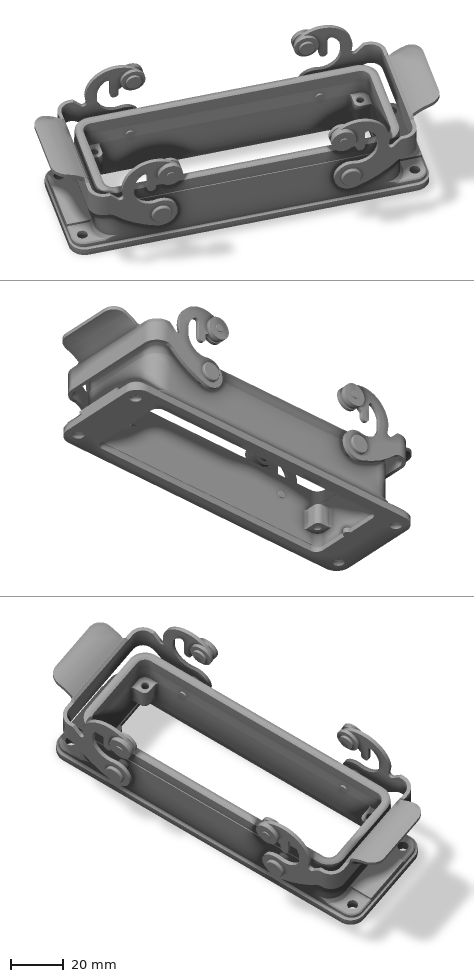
import cadquery as cq
import math

plate_x = 45.5
plate_y = 141.0
plate_z = 2.9
plate_corner = 6.1
opening_x = 35.0
opening_y = 110.7
opening_corner = 3.3
lip_top = 2.0
nub_diameter = 3.5

wall_x = 42.6
wall_y = 119.5
wall_corner = 7.3
wall_top = 22.7
cavity_x = 35.5
cavity_y = 112.5
cavity_corner = wall_corner - (wall_x - cavity_x) / 2
lower_cavity_inset = 0.5
taper_bottom = 17.2
flange_y = 139.2
flange_top = 4.9
flange_corner = 4.9
flange_edge_chamfer = 0.5
skirt = 1.2
pad_x = 21.2
pad_top = 6.0
mount_hole_diameter = 4.1
plate_hole_diameter = 4.5
mount_hole_x = 16.5
mount_hole_y = 65.2

seal_step = 0.3
seal_edge_top = 28.0
seal_crown = 28.5

boss_x = 10.2
boss_y = 49.3
boss_bottom = 8.4
boss_top = 17.0
boss_corner = 2.3
boss_flare = 0.9
boss_hole_diameter = 2.9
boss_hole_chamfer = 0.3
boss_hole_x = 13.5
boss_hole_y = 52.0

strap_x = 53.9
strap_y = 128.8
strap_corner = 6.1
sheet = 1.5
strap_bottom = 23.5
strap_top = 33.2
lobe_radius = 6.4
hook_y = 40.2
hook_z = 34.4
hook_radius = 12.2
hook_end_radius = 4.3
slot_radius = 7.6
slot_drop = 2.0

finger_radius = 1.7
finger_y = 41.0
finger_z = 33.2
finger_root_z = 35.2
finger_root_angle = -40
slot_tip_radius = 1.2
neck_y = 51.9
notch_radius = 1.2
notch_z = 31.0
notch_exit_angle = -45

brace_start = (57.7, strap_bottom)
brace_shoulder = (55.9, 22.7)
brace_middle = (47.5, 16.5)
brace_end_angle = -70

pivot_y = 37.1
pivot_z = 18.9
pivot_diameter = 4.5
pivot_head_diameter = 7.8
pivot_head_height = 1.4
pivot_head_chamfer = 0.3
pivot_tip_diameter = 3.0
pivot_tip_length = 0.5

roller_y = 34.0
roller_z = 39.6
roller_diameter = 9.6
roller_outer_width = 1.8
roller_inner_width = 1.4
collar_diameter = 6.0
collar_width = 1.0
roller_pin_diameter = 3.3
roller_pin_length = 0.5

tab_x = 32.9
tab_end = 76.1
tab_corner = 5.5
tab_radius = 19.3
tab_end_top = 38.8
tab_gusset = 1.5
gusset_slope = 1.2


def rounded_block(x, y, bottom, top, corner):
    block = cq.Workplane("XY", origin=(0, 0, bottom)).rect(x, y).extrude(top - bottom)
    return block.edges("|Z").fillet(corner)


def cylinder_x(y, z, diameter, x_start, x_end):
    plane = cq.Workplane("YZ", origin=(x_start, y, z))
    return plane.circle(diameter / 2).extrude(x_end - x_start)


def both_sides(shape):
    return shape.union(shape.mirror("YZ"))


def all_corners(shape):
    pair = both_sides(shape)
    return pair.union(pair.mirror("XZ"))


def circle_point(centre, radius, angle):
    turn = math.radians(angle)
    return (centre[0] + radius * math.cos(turn), centre[1] + radius * math.sin(turn))


def make_plate():
    opening = rounded_block(opening_x, opening_y, 0, plate_z, opening_corner)
    plate = rounded_block(plate_x, plate_y, 0, plate_z, plate_corner).cut(opening)
    nub = cq.Workplane("XY").center(0, opening_y / 2).circle(nub_diameter / 2).extrude(lip_top)
    return plate.union(nub).union(nub.mirror("XZ"))


def make_flange():
    flange = rounded_block(wall_x, flange_y, plate_z, flange_top, flange_corner)
    flange = flange.faces(">Z").edges().chamfer(flange_edge_chamfer)
    outline = rounded_block(wall_x, flange_y, plate_z, wall_top, flange_corner)
    pads = cq.Workplane("XY", origin=(0, 0, plate_z)).rect(pad_x, flange_y).extrude(pad_top - plate_z)
    sloped_skirt = rounded_block(
        wall_x + 2 * skirt, wall_y + 2 * skirt, plate_z, flange_top + skirt, wall_corner + skirt
    )
    sloped_skirt = sloped_skirt.faces(">Z").edges().chamfer(skirt)
    return flange.union(pads).union(sloped_skirt.intersect(outline))


def make_mount_holes():
    centre = cq.Workplane("XY").center(mount_hole_x, mount_hole_y)
    flange_hole = centre.circle(mount_hole_diameter / 2).extrude(pad_top)
    plate_hole = centre.circle(plate_hole_diameter / 2).extrude(plate_z)
    return all_corners(flange_hole.union(plate_hole))


def make_cavity():
    lower_x = cavity_x - 2 * lower_cavity_inset
    lower_y = cavity_y - 2 * lower_cavity_inset
    lower_corner = cavity_corner - lower_cavity_inset
    lower = rounded_block(lower_x, lower_y, lip_top, taper_bottom, lower_corner)
    taper_angle = math.degrees(math.atan(lower_cavity_inset / (wall_top - taper_bottom)))
    taper = lower.faces(">Z").wires().toPending().workplane()
    taper = taper.extrude(wall_top - taper_bottom, taper=-taper_angle, combine=False)
    return lower.union(taper)


def make_boss():
    wall_inside_x = cavity_x / 2 - lower_cavity_inset
    wall_inside_y = cavity_y / 2 - lower_cavity_inset
    end_x = cavity_x / 2 + lower_cavity_inset
    end_y = cavity_y / 2 + lower_cavity_inset
    boss_middle = (boss_bottom + boss_top) / 2
    flare_middle = boss_flare * (1 - math.sqrt(0.5))
    boss = (
        cq.Workplane("XY", origin=(0, 0, boss_bottom))
        .moveTo(boss_x, boss_y)
        .lineTo(wall_inside_x - boss_flare, boss_y)
        .threePointArc(
            (wall_inside_x - flare_middle, boss_y - flare_middle),
            (wall_inside_x, boss_y - boss_flare),
        )
        .lineTo(end_x, boss_y - boss_flare)
        .lineTo(end_x, end_y)
        .lineTo(boss_x - boss_flare, end_y)
        .lineTo(boss_x - boss_flare, wall_inside_y)
        .threePointArc(
            (boss_x - flare_middle, wall_inside_y - flare_middle),
            (boss_x, wall_inside_y - boss_flare),
        )
        .close()
        .extrude(boss_top - boss_bottom)
    )
    boss = boss.edges(cq.NearestToPointSelector((boss_x, boss_y, boss_middle))).fillet(boss_corner)
    boss = (
        boss.faces(">Z")
        .workplane(origin=(boss_hole_x, boss_hole_y, boss_top))
        .cskHole(boss_hole_diameter, boss_hole_diameter + 2 * boss_hole_chamfer, 90)
    )
    return boss.intersect(rounded_block(wall_x, wall_y, 0, wall_top, wall_corner))


def make_seal():
    outer_x = wall_x / 2 - seal_step
    outer_y = wall_y / 2 - seal_step
    inner_x = cavity_x / 2
    centre_x = (outer_x + inner_x) / 2
    profile = (
        cq.Workplane("XZ")
        .moveTo(inner_x, wall_top)
        .lineTo(outer_x, wall_top)
        .lineTo(outer_x, seal_edge_top)
        .threePointArc((centre_x, seal_crown), (inner_x, seal_edge_top))
        .close()
    )
    inset = outer_x - centre_x
    path = (
        cq.Workplane("XY", origin=(0, 0, wall_top))
        .rect(2 * centre_x, 2 * (outer_y - inset))
        .extrude(seal_edge_top - wall_top)
        .edges("|Z")
        .fillet(wall_corner - seal_step - inset)
        .faces("<Z")
        .wires()
    )
    return profile.sweep(path)


def make_housing():
    wall = rounded_block(wall_x, wall_y, plate_z, wall_top, wall_corner)
    housing = make_plate().union(make_flange()).union(wall)
    housing = housing.cut(make_cavity()).cut(make_mount_holes())
    return housing.union(all_corners(make_boss())).union(make_seal())


def angle_to(start, end):
    return math.degrees(math.atan2(end[1] - start[1], end[0] - start[0]))


def make_arm_profile():
    pivot = (pivot_y, pivot_z)
    roller = (roller_y, roller_z)
    hook = (hook_y, hook_z)
    slot_low = (hook_y, hook_z - slot_drop)

    lobe_end_angle = angle_to(pivot, slot_low)
    slot_middle_angle = (lobe_end_angle - 180) / 2

    finger_slot_side = finger_y + finger_radius
    slot_tip_y = finger_slot_side + slot_tip_radius
    slot_tip_reach = slot_radius - slot_tip_radius
    slot_tip = (slot_tip_y, hook_z + math.sqrt(slot_tip_reach**2 - (slot_tip_y - hook_y) ** 2))
    slot_tip_angle = angle_to(hook, slot_tip)

    tangent_offset = math.acos((hook_radius - hook_end_radius) / math.dist(hook, roller))
    tangent_angle = angle_to(hook, roller) - math.degrees(tangent_offset)

    finger_free_side = finger_y - finger_radius
    notch = (neck_y + notch_radius, notch_z)
    notch_middle_angle = (180 + 360 + notch_exit_angle) / 2
    notch_exit = circle_point(notch, notch_radius, notch_exit_angle)
    slope_top = (notch_exit[0] + strap_top - notch_exit[1], strap_top)
    return (
        cq.Workplane("YZ")
        .moveTo(strap_y / 2, strap_bottom)
        .lineTo(*brace_start)
        .lineTo(*brace_shoulder)
        .threePointArc(brace_middle, circle_point(pivot, lobe_radius, brace_end_angle))
        .threePointArc(
            circle_point(pivot, lobe_radius, 180),
            circle_point(pivot, lobe_radius, lobe_end_angle),
        )
        .threePointArc(
            circle_point(slot_low, slot_radius, slot_middle_angle),
            circle_point(slot_low, slot_radius, 0),
        )
        .lineTo(*circle_point(hook, slot_radius, 0))
        .threePointArc(
            circle_point(hook, slot_radius, slot_tip_angle / 2),
            circle_point(hook, slot_radius, slot_tip_angle),
        )
        .threePointArc(
            circle_point(slot_tip, slot_tip_radius, (slot_tip_angle + 180) / 2),
            (finger_slot_side, slot_tip[1]),
        )
        .lineTo(finger_slot_side, finger_z)
        .threePointArc((finger_y, finger_z - finger_radius), (finger_free_side, finger_z))
        .lineTo(finger_free_side, finger_root_z)
        .lineTo(*circle_point(roller, hook_end_radius, finger_root_angle))
        .threePointArc(
            circle_point(roller, hook_end_radius, 180),
            circle_point(roller, hook_end_radius, tangent_angle),
        )
        .lineTo(*circle_point(hook, hook_radius, tangent_angle))
        .threePointArc(
            circle_point(hook, hook_radius, tangent_angle / 2),
            circle_point(hook, hook_radius, 0),
        )
        .lineTo(neck_y, notch_z)
        .threePointArc(circle_point(notch, notch_radius, notch_middle_angle), notch_exit)
        .lineTo(*slope_top)
        .lineTo(strap_y / 2, strap_top)
        .close()
    )


def make_strap():
    inner = rounded_block(
        strap_x - 2 * sheet, strap_y - 2 * sheet, 0, hook_z + hook_radius, strap_corner - sheet
    )
    band = rounded_block(strap_x, strap_y, 0, hook_z + hook_radius, strap_corner).cut(inner)
    arm_slab = make_arm_profile().extrude(strap_x / 2, both=True)
    return band.intersect(arm_slab)


def make_tab():
    start_y = strap_y / 2 - sheet
    centre = (tab_end, tab_end_top - tab_radius)
    inner_radius = tab_radius - sheet
    root_height = math.sqrt(tab_radius**2 - (tab_end - start_y) ** 2)
    inner_root_height = math.sqrt(inner_radius**2 - (tab_end - start_y) ** 2)
    root_angle = (90 + angle_to(centre, (start_y, centre[1] + root_height))) / 2
    curved_sheet = (
        cq.Workplane("YZ")
        .moveTo(start_y, centre[1] + inner_root_height)
        .lineTo(start_y, centre[1] + root_height)
        .threePointArc(circle_point(centre, tab_radius, root_angle), (tab_end, tab_end_top))
        .lineTo(tab_end, tab_end_top - sheet)
        .threePointArc(
            circle_point(centre, inner_radius, root_angle), (start_y, centre[1] + inner_root_height)
        )
        .close()
        .extrude(tab_x / 2, both=True)
    )
    tab = curved_sheet.edges("|Z and >Y").fillet(tab_corner)
    gusset_bottom_x = tab_x / 2 + tab_gusset
    gusset = (
        cq.Workplane("XZ", origin=(0, strap_y / 2, 0))
        .polyline(
            [
                (-gusset_bottom_x, strap_top),
                (gusset_bottom_x, strap_top),
                (tab_x / 2, strap_top + tab_gusset),
                (-tab_x / 2, strap_top + tab_gusset),
            ]
        )
        .close()
        .extrude(sheet)
    )
    gusset = gusset.edges(">Z and <Y").chamfer(gusset_slope)
    return tab.union(gusset)


def make_pivot_pin():
    outside = strap_x / 2
    head = cylinder_x(pivot_y, pivot_z, pivot_head_diameter, outside, outside + pivot_head_height)
    head = head.faces(">X").edges().chamfer(pivot_head_chamfer)
    inner_wall = cavity_x / 2 - lower_cavity_inset
    wall_middle = (cavity_x + wall_x) / 4
    shank = cylinder_x(pivot_y, pivot_z, pivot_diameter, wall_middle, outside)
    tip = cylinder_x(pivot_y, pivot_z, pivot_tip_diameter, inner_wall - pivot_tip_length, outside)
    return head.union(shank).union(tip)


def make_roller():
    outer_start = strap_x / 2
    outer_end = outer_start + roller_outer_width
    inner_end = outer_start - sheet
    inner_start = inner_end - roller_inner_width
    collar_start = inner_start - collar_width
    outer_disc = cylinder_x(roller_y, roller_z, roller_diameter, outer_start, outer_end)
    inner_disc = cylinder_x(roller_y, roller_z, roller_diameter, inner_start, inner_end)
    collar = cylinder_x(roller_y, roller_z, collar_diameter, collar_start, inner_start)
    pin_end = outer_end + roller_pin_length
    pin = cylinder_x(roller_y, roller_z, roller_pin_diameter, inner_start, pin_end)
    return outer_disc.union(inner_disc).union(collar).union(pin)


def make_lever():
    return make_strap().union(make_tab()).union(both_sides(make_pivot_pin().union(make_roller())))


lever = make_lever()
result = make_housing().union(lever).union(lever.mirror("XZ"))